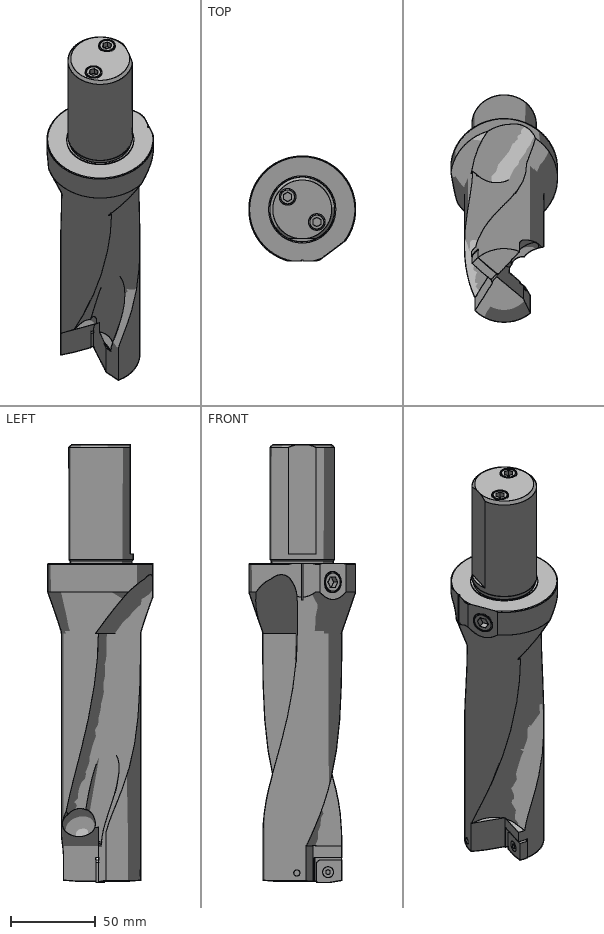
import cadquery as cq
import math

SHANK_LENGTH = 70.0
TIP_Z = -187.98
BODY_END_Z = -187.3

SHANK_RADIUS = 19.05
SHANK_CHAMFER = 1.7
SHANK_FLAT_DISTANCE = 17.2
SHANK_FLAT_BOTTOM_Z = 5.6
NECK_RADIUS = 18.3
NECK_HEIGHT = 1.5
FACE_GROOVE_RADIUS = 19.8
FACE_GROOVE_DEPTH = 0.5

FLANGE_RADIUS = 31.5
FLANGE_EDGE_CHAMFER = 0.5
FLANGE_RIM_Z = -16.9
CONE_END_Z = -40.0
SHAFT_TOP_Z = -41.3
CONE_END_RADIUS = 23.6
SHAFT_RADIUS = 23.4
END_BEVEL_HEIGHT = 0.7
END_BEVEL_WIDTH = 8.0

MAIN_FLAT_DISTANCE = 30.5
MAIN_FLAT_ANGLE = -90.0
PLUG_FLAT_DISTANCE = 30.0
PLUG_FLAT_ANGLE = -53.0
FLANGE_MARK_WIDTH = 0.9
FLANGE_MARK_DEPTH = 0.6

FLUTE_SIDE_WALL_Y = 1.6
FLUTE_WEB_WALL_X = -2.9
FLUTE_FLOOR_RADIUS = 15.4
FLUTE_REACH = 36.0
FLUTE_LENGTH = 125.0
FLUTE_TURN = 80.0
FLUTE_TURN_POWER = 1.85
FLUTE_PINCH = 3.0
FLUTE_PINCH_POWER = 4
FLUTE_SECTIONS = 9
RUNOUT_RISE = 1.18
RUNOUT_TRAVEL = 40.0
RUNOUT_FLARE = 6.2

OUTER_POCKET_EDGE_X = 2.2
OUTER_POCKET_CORNER_X = 6.4
OUTER_POCKET_Y = -3.0
OUTER_POCKET_TOP_Z = -166.0
INNER_POCKET_X = 7.5
INNER_POCKET_Y = 1.5
INNER_POCKET_EDGE_Y = -2.9
INNER_POCKET_SLOPE_X = -14.0
INNER_POCKET_BEND_Z = -174.5
INNER_POCKET_BEND_RADIUS = 18.2
INNER_POCKET_LEAN = 40.5
INNER_POCKET_TOP_Z = -128.0

TROUGH_RADIUS = 8.5
TROUGH_TOP = (-16.5, -4.3, -110.0)
TROUGH_BOTTOM = (-10.5, 5.0, -164.0)

BALL_END_RADIUS = 9.8
BALL_END_CENTER = (-5.0, 13.0, -153.6)

INSERT_LEFT_X = 8.5
INSERT_RIGHT_X = 23.4
INSERT_TOP_Z = -174.6
INSERT_THICKNESS = 5.0
INSERT_FACE_Y = -2.0
INSERT_CORNER = 1.6
INSERT_EDGE_RISE = 1.2
SEAT_GAP = 1.4
RELIEF_RADIUS = 1.5
SCREW_X = 15.2
SCREW_Z = -181.8
SCREW_HEAD_RADIUS = 3.2
SCREW_HEAD_DEPTH = 2.5
SCREW_SHANK_RADIUS = 2.0
SCREW_LENGTH = 12.0
SCREW_HEX = 2.6
SCREW_HEX_DEPTH = 1.5

INNER_SCREW_HOLE_RADIUS = 1.8
INNER_SCREW_HOLE_END_Y = -8.0
INNER_SCREW_HOLE_X = -3.2
INNER_SCREW_HOLE_Z = -182.3

PLUG_LENGTH = 8.0
PLUG_CHAMFER = 0.8
PLUG_HEX_DEPTH = 4.0
SHANK_PLUG_RADIUS = 4.9
SHANK_PLUG_HEX = 4.8
SHANK_PLUG_X = 8.6
SHANK_PLUG_Y = -7.4
FLANGE_PLUG_RADIUS = 6.2
FLANGE_PLUG_HEX = 6.2
FLANGE_PLUG_Z = -11.0


def turned_blank():
    outline = (
        cq.Workplane("XZ")
        .moveTo(0, BODY_END_Z)
        .lineTo(SHAFT_RADIUS - END_BEVEL_WIDTH, BODY_END_Z)
        .lineTo(SHAFT_RADIUS, BODY_END_Z + END_BEVEL_HEIGHT)
        .lineTo(SHAFT_RADIUS, SHAFT_TOP_Z)
        .lineTo(CONE_END_RADIUS, CONE_END_Z)
        .lineTo(FLANGE_RADIUS, FLANGE_RIM_Z)
        .lineTo(FLANGE_RADIUS, -FLANGE_EDGE_CHAMFER)
        .lineTo(FLANGE_RADIUS - FLANGE_EDGE_CHAMFER, 0)
        .lineTo(FACE_GROOVE_RADIUS, 0)
        .lineTo(FACE_GROOVE_RADIUS, -FACE_GROOVE_DEPTH)
        .lineTo(NECK_RADIUS, -FACE_GROOVE_DEPTH)
        .lineTo(NECK_RADIUS, NECK_HEIGHT)
        .lineTo(SHANK_RADIUS, NECK_HEIGHT + SHANK_RADIUS - NECK_RADIUS)
        .lineTo(SHANK_RADIUS, SHANK_LENGTH - SHANK_CHAMFER)
        .lineTo(SHANK_RADIUS - SHANK_CHAMFER, SHANK_LENGTH)
        .lineTo(0, SHANK_LENGTH)
        .close()
    )
    return outline.revolve(360, (0, 0, 0), (0, 1, 0))


def box_between(x_range, y_range, z_range):
    sizes = [high - low for low, high in (x_range, y_range, z_range)]
    corner = (x_range[0], y_range[0], z_range[0])
    return cq.Workplane("XY").box(*sizes, centered=False).translate(corner)


def shank_flat():
    return box_between(
        (-SHANK_RADIUS, SHANK_RADIUS),
        (-2 * SHANK_RADIUS, -SHANK_FLAT_DISTANCE),
        (SHANK_FLAT_BOTTOM_Z, SHANK_LENGTH),
    )


def flange_flat(distance, angle):
    cutter = box_between(
        (distance, 2 * FLANGE_RADIUS), (-FLANGE_RADIUS, FLANGE_RADIUS), (CONE_END_Z, 0)
    )
    return cutter.rotate((0, 0, 0), (0, 0, 1), angle)


def flange_mark():
    return box_between(
        (-FLANGE_MARK_WIDTH / 2, FLANGE_MARK_WIDTH / 2),
        (-FLANGE_RADIUS, -MAIN_FLAT_DISTANCE + FLANGE_MARK_DEPTH),
        (CONE_END_Z, 0),
    )


def flute_section(depth, flare=0.0):
    """Closed flute outline at a depth below the shaft top; `flare` opens the side wall outwards."""
    progress = depth / FLUTE_LENGTH
    pinch = FLUTE_PINCH * math.sin(math.pi * progress**FLUTE_PINCH_POWER)
    web_wall_x = FLUTE_WEB_WALL_X - pinch
    arc_x = web_wall_x - FLUTE_FLOOR_RADIUS
    arc_y = FLUTE_SIDE_WALL_Y - FLUTE_FLOOR_RADIUS
    arc_reach = FLUTE_FLOOR_RADIUS * math.sqrt(0.5)
    turn = FLUTE_TURN * progress**FLUTE_TURN_POWER
    section = (
        cq.Workplane("XY")
        .moveTo(-FLUTE_REACH, FLUTE_SIDE_WALL_Y + flare)
        .lineTo(arc_x, FLUTE_SIDE_WALL_Y)
        .threePointArc((arc_x + arc_reach, arc_y + arc_reach), (web_wall_x, arc_y))
        .lineTo(web_wall_x, -FLUTE_REACH)
        .lineTo(-FLUTE_REACH, -FLUTE_REACH)
        .close()
        .val()
    )
    lowered = section.translate(cq.Vector(0, 0, SHAFT_TOP_Z - depth))
    return lowered.rotate(cq.Vector(0, 0, 0), cq.Vector(0, 0, 1), -turn)


def flute():
    step = FLUTE_LENGTH / (FLUTE_SECTIONS - 1)
    sections = [flute_section(index * step) for index in range(FLUTE_SECTIONS)]
    return cq.Workplane(cq.Solid.makeLoft(sections))


def flute_runout():
    """Continues the top flute section upwards and outwards through the cone."""
    travel = cq.Vector(0, -RUNOUT_TRAVEL, RUNOUT_RISE * RUNOUT_TRAVEL)
    return cq.Workplane(cq.Solid.extrudeLinear(flute_section(0, RUNOUT_FLARE), [], travel))


def outer_pocket():
    outline = [
        (OUTER_POCKET_EDGE_X, -FLUTE_REACH),
        (OUTER_POCKET_EDGE_X, -SHAFT_RADIUS),
        (OUTER_POCKET_CORNER_X, OUTER_POCKET_Y),
        (FLUTE_REACH, OUTER_POCKET_Y),
        (FLUTE_REACH, -FLUTE_REACH),
    ]
    sketch = cq.Workplane("XY").workplane(offset=BODY_END_Z).polyline(outline).close()
    return sketch.extrude(OUTER_POCKET_TOP_Z - BODY_END_Z)


def inner_pocket():
    plan = [
        (-FLUTE_REACH, FLUTE_REACH),
        (-FLUTE_REACH, INNER_POCKET_EDGE_Y),
        (-SHAFT_RADIUS, INNER_POCKET_EDGE_Y),
        (INNER_POCKET_SLOPE_X, INNER_POCKET_Y),
        (INNER_POCKET_X, INNER_POCKET_Y),
        (INNER_POCKET_X, FLUTE_REACH),
    ]
    sketch = cq.Workplane("XY").workplane(offset=BODY_END_Z).polyline(plan).close()
    pocket = sketch.extrude(INNER_POCKET_TOP_Z - BODY_END_Z)

    def bend_point(lean):
        """Point of the bend where the wall leans by the given angle."""
        inset = INNER_POCKET_BEND_RADIUS * (1 - math.cos(lean))
        rise = INNER_POCKET_BEND_RADIUS * math.sin(lean)
        return INNER_POCKET_X - inset, INNER_POCKET_BEND_Z + rise

    lean = math.radians(INNER_POCKET_LEAN)
    bend_end = bend_point(lean)
    top_x = bend_end[0] - (INNER_POCKET_TOP_Z - bend_end[1]) * math.tan(lean)
    side_profile = (
        cq.Workplane("XZ", origin=(0, -FLUTE_REACH, 0))
        .moveTo(-FLUTE_REACH, BODY_END_Z)
        .lineTo(INNER_POCKET_X, BODY_END_Z)
        .lineTo(INNER_POCKET_X, INNER_POCKET_BEND_Z)
        .threePointArc(bend_point(lean / 2), bend_end)
        .lineTo(top_x, INNER_POCKET_TOP_Z)
        .lineTo(-FLUTE_REACH, INNER_POCKET_TOP_Z)
        .close()
        .extrude(-2 * FLUTE_REACH)
    )
    return pocket.intersect(side_profile)


def flute_trough():
    top = cq.Vector(*TROUGH_TOP)
    axis = cq.Vector(*TROUGH_BOTTOM) - top
    return cq.Workplane(cq.Solid.makeCylinder(TROUGH_RADIUS, axis.Length, top, axis))


def flute_ball_end():
    return cq.Workplane("XY").sphere(BALL_END_RADIUS).translate(BALL_END_CENTER)


def insert_seat():
    left = INSERT_LEFT_X - SEAT_GAP
    top = INSERT_TOP_Z + SEAT_GAP
    back = INSERT_FACE_Y + INSERT_THICKNESS
    seat = box_between((left, FLUTE_REACH), (OUTER_POCKET_Y, back), (TIP_Z, top))
    relief = (
        cq.Workplane("XZ", origin=(INSERT_LEFT_X, back, INSERT_TOP_Z))
        .circle(RELIEF_RADIUS)
        .extrude(back - OUTER_POCKET_Y)
    )
    return seat.union(relief)


def inner_screw_hole():
    return (
        cq.Workplane("XZ", origin=(INNER_SCREW_HOLE_X, INNER_SCREW_HOLE_END_Y, INNER_SCREW_HOLE_Z))
        .circle(INNER_SCREW_HOLE_RADIUS)
        .extrude(SHAFT_RADIUS)
    )


def insert_screw_blank():
    """Screw without its socket, also used to cut its hole."""
    face = cq.Workplane("XZ", origin=(SCREW_X, INSERT_FACE_Y, SCREW_Z))
    head = face.circle(SCREW_HEAD_RADIUS).extrude(-SCREW_HEAD_DEPTH)
    return head.union(face.circle(SCREW_SHANK_RADIUS).extrude(-SCREW_LENGTH))


def make_insert():
    outline = [
        (INSERT_LEFT_X, TIP_Z),
        (INSERT_LEFT_X, INSERT_TOP_Z - INSERT_CORNER),
        (INSERT_LEFT_X + INSERT_CORNER, INSERT_TOP_Z),
        (INSERT_RIGHT_X, INSERT_TOP_Z),
        (INSERT_RIGHT_X, TIP_Z + INSERT_EDGE_RISE),
        ((INSERT_LEFT_X + INSERT_RIGHT_X) / 2, TIP_Z),
    ]
    face = cq.Workplane("XZ", origin=(0, INSERT_FACE_Y, 0)).polyline(outline).close()
    return face.extrude(-INSERT_THICKNESS).cut(insert_screw_blank())


def make_insert_screw():
    socket = (
        cq.Workplane("XZ", origin=(SCREW_X, INSERT_FACE_Y, SCREW_Z))
        .polygon(6, SCREW_HEX, circumscribed=True)
        .extrude(-SCREW_HEX_DEPTH)
    )
    return insert_screw_blank().cut(socket)


def plug_blank(place, radius):
    """Plain plug flush with the face at `place`, whose normal points out of the body."""
    return cq.Workplane(place).circle(radius).extrude(-PLUG_LENGTH)


def make_plug(place, radius, hex_size):
    outer_face = cq.NearestToPointSelector(place.origin.toTuple())
    plug = plug_blank(place, radius).faces(outer_face).chamfer(PLUG_CHAMFER)
    socket = (
        cq.Workplane(place)
        .polygon(6, hex_size, circumscribed=True)
        .extrude(-PLUG_HEX_DEPTH)
    )
    return plug.cut(socket)


plug_direction = cq.Vector(
    math.cos(math.radians(PLUG_FLAT_ANGLE)), math.sin(math.radians(PLUG_FLAT_ANGLE)), 0
)
flange_plug_place = cq.Plane(
    origin=plug_direction * PLUG_FLAT_DISTANCE + cq.Vector(0, 0, FLANGE_PLUG_Z),
    xDir=(0, 0, 1),
    normal=plug_direction,
)
shank_plug_places = [
    cq.Plane(origin=(side * SHANK_PLUG_X, side * SHANK_PLUG_Y, SHANK_LENGTH), normal=(0, 0, 1))
    for side in (1, -1)
]


def make_drill_body():
    body = turned_blank()
    body = body.cut(shank_flat())
    body = body.cut(flange_flat(MAIN_FLAT_DISTANCE, MAIN_FLAT_ANGLE))
    body = body.cut(flange_flat(PLUG_FLAT_DISTANCE, PLUG_FLAT_ANGLE))
    body = body.cut(flange_mark())
    for start_angle in (0, 180):
        body = body.cut(flute().rotate((0, 0, 0), (0, 0, 1), start_angle))
        body = body.cut(flute_runout().rotate((0, 0, 0), (0, 0, 1), start_angle))
    body = body.cut(outer_pocket())
    body = body.cut(inner_pocket())
    body = body.cut(flute_trough())
    body = body.cut(flute_ball_end())
    body = body.cut(insert_seat())
    body = body.cut(insert_screw_blank())
    body = body.cut(inner_screw_hole())
    body = body.cut(plug_blank(flange_plug_place, FLANGE_PLUG_RADIUS))
    for place in shank_plug_places:
        body = body.cut(plug_blank(place, SHANK_PLUG_RADIUS))
    return body


drill_body = make_drill_body()
insert = make_insert()
insert_screw = make_insert_screw()
flange_plug = make_plug(flange_plug_place, FLANGE_PLUG_RADIUS, FLANGE_PLUG_HEX)
shank_plugs = [make_plug(place, SHANK_PLUG_RADIUS, SHANK_PLUG_HEX) for place in shank_plug_places]

result = cq.Compound.makeCompound([
    drill_body.val(),
    insert.val(),
    insert_screw.val(),
    flange_plug.val(),
    *[plug.val() for plug in shank_plugs],
])